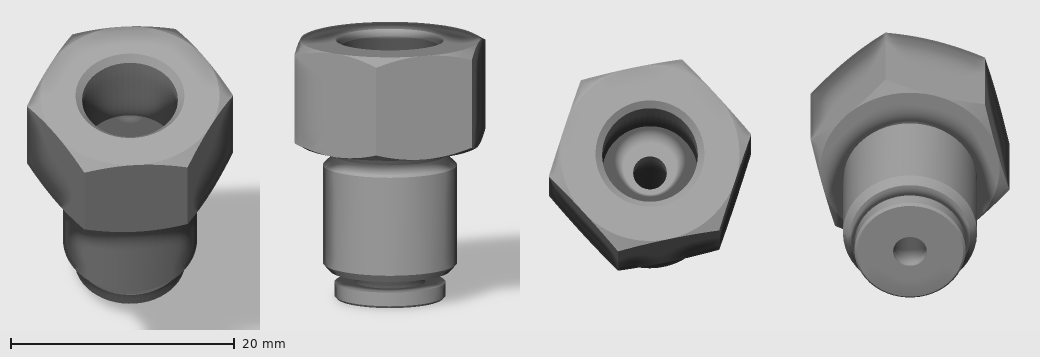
import cadquery as cq
import math

total_height = 23.5
hex_height = 9.42
collar_height = 1.45
stem_bottom = 1.7
stem_top = 2.28
body_bottom = 2.51
body_top = 12.13
neck_bottom = 13.07
hex_bottom = total_height - hex_height

collar_radius = 4.95
collar_chamfer = 0.2
stem_radius = 3.05
stem_foot_radius = 3.13
stem_shoulder_radius = 3.31
body_radius = 6.0
body_chamfer_width = 0.6
body_chamfer_height = 0.68
neck_radius = 5.0

across_flats = 16.0
across_corners = across_flats / math.cos(math.pi / 6)
corner_chamfer_angle = math.radians(30)

socket_radius = 4.28
socket_depth = 8.0
socket_chamfer = 0.59
passage_radius = 1.5


def revolve_profile(points):
    """Turn a closed (radius, height) outline around the Z axis."""
    return cq.Workplane("XZ").polyline(points).close().revolve(360, (0, 0), (0, 1))


def make_head():
    """Hexagonal nut with its corners turned off at both ends."""
    prism = (
        cq.Workplane("XY")
        .workplane(offset=hex_bottom)
        .polygon(6, across_corners)
        .extrude(hex_height)
    )
    face_radius = across_flats / 2
    corner_radius = across_corners / 2
    drop = (corner_radius - face_radius) * math.tan(corner_chamfer_angle)
    envelope = revolve_profile([
        (0, hex_bottom),
        (face_radius, hex_bottom),
        (corner_radius, hex_bottom + drop),
        (corner_radius, total_height - drop),
        (face_radius, total_height),
        (0, total_height),
    ])
    return prism.intersect(envelope)


def make_shank():
    """Release collar, stem, body and neck turned in one outline."""
    return revolve_profile([
        (0, 0),
        (collar_radius - collar_chamfer, 0),
        (collar_radius, collar_chamfer),
        (collar_radius, collar_height),
        (stem_foot_radius, collar_height),
        (stem_radius, stem_bottom),
        (stem_radius, stem_top),
        (stem_shoulder_radius, stem_top),
        (stem_shoulder_radius, body_bottom),
        (body_radius - body_chamfer_width, body_bottom),
        (body_radius, body_bottom + body_chamfer_height),
        (body_radius, body_top),
        (neck_radius, neck_bottom),
        (neck_radius, hex_bottom),
        (0, hex_bottom),
    ])


def make_bore():
    """Chamfered socket from the top, continued by the narrow passage."""
    socket_floor = total_height - socket_depth
    return revolve_profile([
        (0, 0),
        (passage_radius, 0),
        (passage_radius, socket_floor),
        (socket_radius, socket_floor),
        (socket_radius, total_height - socket_chamfer),
        (socket_radius + socket_chamfer, total_height),
        (0, total_height),
    ])


result = make_head().union(make_shank()).cut(make_bore())